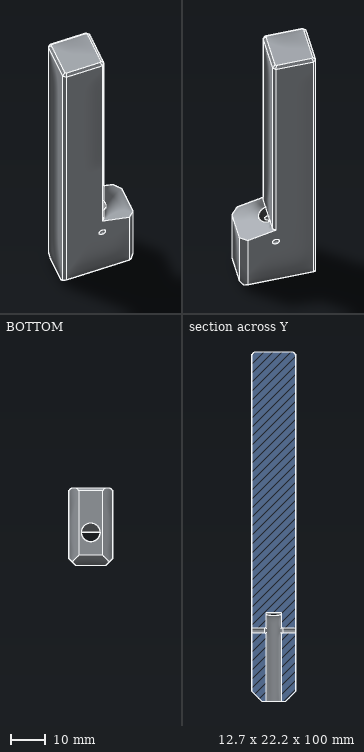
import cadquery as cq
import math

bar_width = 12.7
total_height = 100
foot_depth = 22.2
edge_chamfer = 0.8

foot_rear_height = 22.8
foot_slope = math.radians(15)
foot_corner_chamfer = 2.0
foot_base_chamfer = 3.0

bore_diameter = 5.3
pin_diameter = 2.0
pin_from_front = 11.9
pin_height = 20.3


def foot_top_at(y):
    """Height of the sloping foot face at a distance y from the front."""
    return foot_rear_height + (foot_depth - y) * math.tan(foot_slope)


def make_block(depth, height):
    """Block centred on X, with its front face at Y = 0 and its base at Z = 0."""
    return cq.Workplane("XY").box(bar_width, depth, height, centered=(True, False, False))


def make_bar():
    bar = make_block(bar_width, total_height)
    return bar.edges("|Z").chamfer(edge_chamfer).faces(">Z").edges().chamfer(edge_chamfer)


def make_foot():
    profile = [
        (0, 0),
        (foot_depth, 0),
        (foot_depth, foot_rear_height),
        (bar_width - edge_chamfer, foot_top_at(bar_width - edge_chamfer)),
        (0, foot_top_at(bar_width - edge_chamfer)),
    ]
    foot = cq.Workplane("YZ").polyline(profile).close().extrude(bar_width / 2, both=True)
    foot = foot.edges("|Z and >Y").chamfer(foot_corner_chamfer)
    return foot.edges("|Z and <Y").chamfer(edge_chamfer)


def base_envelope():
    """Block with the bevels of the base: wide on the sides and rear, narrow at the front."""
    block = make_block(foot_depth, total_height)
    block = block.faces("<Z").edges("|Y or >Y").chamfer(foot_base_chamfer)
    return block.faces("<Z").edges("<Y").chamfer(edge_chamfer)


def make_bore():
    """Bore rising from the base to the height where the foot meets the bar."""
    bore = cq.Workplane("XY").center(0, bar_width).circle(bore_diameter / 2)
    return bore.extrude(foot_top_at(bar_width))


def make_pin_hole():
    hole = cq.Workplane("YZ").center(pin_from_front, pin_height).circle(pin_diameter / 2)
    return hole.extrude(bar_width, both=True)


result = make_bar().union(make_foot()).intersect(base_envelope())
result = result.cut(make_bore()).cut(make_pin_hole())